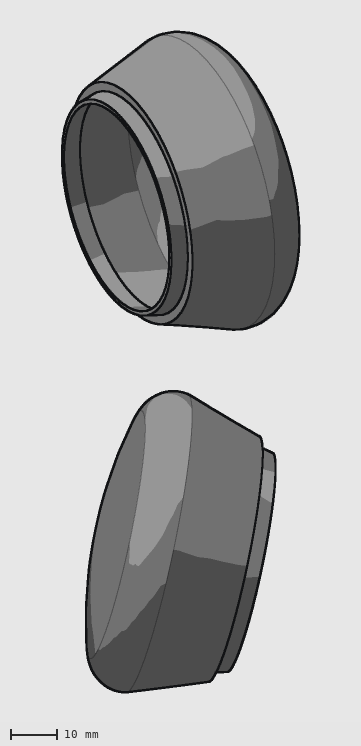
import cadquery as cq
import math

outer_radius = 33.0
total_depth = 33.5
wall = 1.0

lip_depth = 3.55
lip_front_radius = 24.15
lip_back_radius = 25.0

cone_front_radius = 27.05
cone_back_depth = 20.6

shoulder_radius = 8.0
dome_edge_depth = 29.65

shoulder_centre_radius = outer_radius - shoulder_radius
shoulder_centre_depth = 22.0

bore_depth = lip_depth + wall
lip_taper = (lip_back_radius - lip_front_radius) / lip_depth
bore_front_radius = lip_front_radius - wall
bore_back_radius = bore_front_radius + lip_taper * bore_depth


def shoulder_point(arc_radius, depth):
    """Point of a shoulder arc at the given depth."""
    rise = depth - shoulder_centre_depth
    return (shoulder_centre_radius + math.sqrt(arc_radius**2 - rise**2), depth)


def dome_middle(edge_radius, edge_depth, apex_depth):
    """Point halfway out on a dome whose spherical centre lies on the axis."""
    rise = apex_depth - edge_depth
    sphere_radius = (edge_radius**2 + rise**2) / (2 * rise)
    radius = edge_radius / 2
    return (radius, apex_depth - sphere_radius + math.sqrt(sphere_radius**2 - radius**2))


def revolved_body(front_points, inset):
    """Solid of revolution whose shoulder and dome lie inset from the outside."""
    arc_radius = shoulder_radius - inset
    edge_depth = dome_edge_depth - inset
    apex_depth = total_depth - inset
    cone_back = shoulder_point(arc_radius, cone_back_depth)
    shoulder_middle = shoulder_point(arc_radius, (cone_back_depth + edge_depth) / 2)
    dome_edge = shoulder_point(arc_radius, edge_depth)
    profile = (
        cq.Workplane("XY")
        .polyline([(0, 0)] + front_points + [cone_back])
        .threePointArc(shoulder_middle, dome_edge)
        .threePointArc(dome_middle(*dome_edge, apex_depth), (0, apex_depth))
        .close()
    )
    return profile.revolve(360, (0, 0, 0), (0, 1, 0))


outer_body = revolved_body(
    [
        (lip_front_radius, 0),
        (lip_back_radius, lip_depth),
        (cone_front_radius, lip_depth),
    ],
    0,
)

cone_back_radius, _ = shoulder_point(shoulder_radius, cone_back_depth)
cone_taper = (cone_back_radius - cone_front_radius) / (cone_back_depth - lip_depth)
cone_wall = wall * math.hypot(1, cone_taper)
inner_cone_front_radius = cone_front_radius + cone_taper * wall - cone_wall

cavity = revolved_body(
    [
        (bore_front_radius, 0),
        (bore_back_radius, bore_depth),
        (inner_cone_front_radius, bore_depth),
    ],
    wall,
)

result = outer_body.cut(cavity)